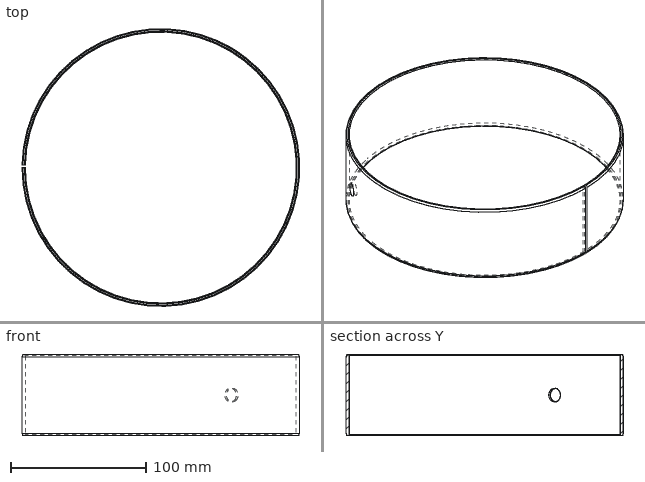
import cadquery as cq
import math

outer_diameter = 205.0
wall_thickness = 2.5
height = 60.0

outer_bevel_height = 1.8
outer_bevel_angle = 20.0

inner_bevel = 0.8

split_angle = 1.0
split_start_angle = 180.0

hole_diameter = 10.0
hole_to_split_angle = 120.0

outer_radius = outer_diameter / 2
inner_radius = outer_radius - wall_thickness
outer_bevel_depth = outer_bevel_height * math.tan(math.radians(outer_bevel_angle))
hole_angle = split_start_angle - split_angle - hole_to_split_angle


def make_split_ring():
    """Revolve the bevelled wall section about Z, leaving the split open."""
    rim_inner_radius = inner_radius + inner_bevel
    rim_outer_radius = outer_radius - outer_bevel_depth
    section = (
        cq.Workplane("XZ")
        .moveTo(rim_inner_radius, 0)
        .lineTo(rim_outer_radius, 0)
        .lineTo(outer_radius, outer_bevel_height)
        .lineTo(outer_radius, height - outer_bevel_height)
        .lineTo(rim_outer_radius, height)
        .lineTo(rim_inner_radius, height)
        .lineTo(inner_radius, height - inner_bevel)
        .lineTo(inner_radius, inner_bevel)
        .close()
    )
    ring = section.revolve(360 - split_angle, (0, 0, 0), (0, 1, 0))
    return ring.rotate((0, 0, 0), (0, 0, 1), split_start_angle)


def make_hole():
    """Cylinder running radially from the axis out past the wall."""
    return (
        cq.Workplane("YZ")
        .center(0, height / 2)
        .circle(hole_diameter / 2)
        .extrude(outer_diameter)
        .rotate((0, 0, 0), (0, 0, 1), hole_angle)
    )


result = make_split_ring().cut(make_hole())